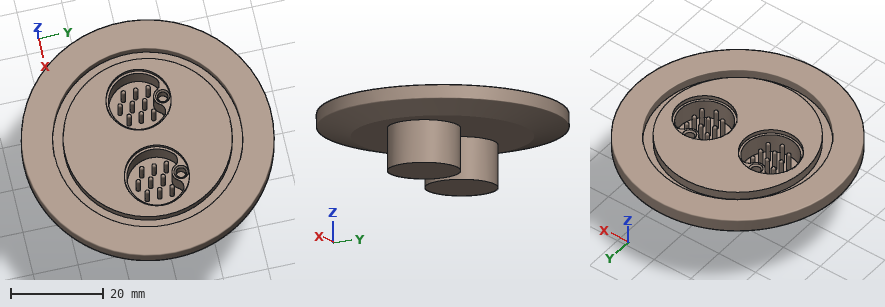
import cadquery as cq

FLANGE_DIAMETER = 54.85
FLANGE_HEIGHT = 5.2
RIM_HEIGHT = 3.1
RIM_FILLET = 0.3
UNDERSIDE_DIAMETER = 39.85
TOTAL_HEIGHT = 14.7

GROOVE_OUTER_DIAMETER = 41.25
GROOVE_INNER_DIAMETER = 36.7
GROOVE_DEPTH = 2.1
GROOVE_EDGE_FILLET = 0.15

CONNECTOR_SPACING = 18.0
BARREL_DIAMETER = 15.9
RECESS_DIAMETER = 14.1
RECESS_DEPTH = 1.0
CAVITY_DIAMETER = 13.0
CAVITY_DEPTH = 5.0

KEY_OFFSET = 5.4
KEY_RADIUS = 2.0
KEY_FILLET = 1.75
KEY_HOLE_DIAMETER = 2.25
KEY_HOLE_DEPTH = 2.75
COUNTERSINK_DIAMETER = 3.05
COUNTERSINK_DEPTH = (COUNTERSINK_DIAMETER - KEY_HOLE_DIAMETER) / 2

PIN_DIAMETER = 1.0
PIN_TIP_RADIUS = 0.45
PIN_PITCH = 2.75
PIN_COLUMN_SPACING = 2.8
PINS_PER_COLUMN = 3

RECESS_FLOOR = -RECESS_DEPTH
CAVITY_FLOOR = RECESS_FLOOR - CAVITY_DEPTH


def cylinder(diameter, bottom, top, x=0, y=0):
    """Vertical cylinder between two Z levels."""
    return cq.Workplane("XY", origin=(x, y, bottom)).circle(diameter / 2).extrude(top - bottom)


def make_flange():
    """Solid disc with a tapered underside and rounded rim edges."""
    rim_radius = FLANGE_DIAMETER / 2
    return (
        cq.Workplane("XZ")
        .moveTo(0, 0)
        .lineTo(rim_radius, 0)
        .lineTo(rim_radius, -RIM_HEIGHT)
        .lineTo(UNDERSIDE_DIAMETER / 2, -FLANGE_HEIGHT)
        .lineTo(0, -FLANGE_HEIGHT)
        .close()
        .revolve(360, (0, 0, 0), (0, 1, 0))
        .edges(cq.selectors.RadiusNthSelector(-1))
        .fillet(RIM_FILLET)
    )


def make_groove():
    """Ring cut that leaves a round island flush with the rim."""
    outer = cylinder(GROOVE_OUTER_DIAMETER, -GROOVE_DEPTH, 0)
    island = cylinder(GROOVE_INNER_DIAMETER, -GROOVE_DEPTH, 0)
    return outer.cut(island)


def round_groove_edge(flange):
    """Round the top edge of the groove's outer wall."""
    groove_top_edges = flange.faces(">Z").edges(cq.selectors.RadiusNthSelector(1))
    return groove_top_edges.fillet(GROOVE_EDGE_FILLET)


def make_cavity():
    """Round cavity notched by the key rib, with its two notch corners rounded."""
    bore = cylinder(CAVITY_DIAMETER, CAVITY_FLOOR, RECESS_FLOOR)
    key = cylinder(2 * KEY_RADIUS, CAVITY_FLOOR, RECESS_FLOOR, y=KEY_OFFSET)
    notched = bore.cut(key)
    return notched.edges("|Z and >Y").fillet(KEY_FILLET)


def make_key_hole():
    """Blind hole with a 45 degree countersink, opening on the recess floor."""
    drill = cylinder(KEY_HOLE_DIAMETER, RECESS_FLOOR - KEY_HOLE_DEPTH, RECESS_FLOOR, y=KEY_OFFSET)
    countersink = cq.Workplane(
        cq.Solid.makeCone(
            COUNTERSINK_DIAMETER / 2,
            KEY_HOLE_DIAMETER / 2,
            COUNTERSINK_DEPTH,
            cq.Vector(0, KEY_OFFSET, RECESS_FLOOR),
            cq.Vector(0, 0, -1),
        )
    )
    return drill.union(countersink)


def make_pin_positions():
    """The middle column sits half a pitch lower than the two outer ones."""
    positions = []
    for column in (-1, 0, 1):
        top_y = PIN_PITCH / 2 if column == 0 else PIN_PITCH
        for row in range(PINS_PER_COLUMN):
            positions.append((column * PIN_COLUMN_SPACING, top_y - row * PIN_PITCH))
    return positions


def make_pin(x, y):
    """Round-tipped pin standing on the cavity floor, its tip level with the recess floor."""
    pin = cylinder(PIN_DIAMETER, CAVITY_FLOOR, RECESS_FLOOR, x, y)
    return pin.faces(">Z").edges().fillet(PIN_TIP_RADIUS)


def make_socket():
    """Everything removed for one connector, centered on the Z axis."""
    recess = cylinder(RECESS_DIAMETER, RECESS_FLOOR, 0)
    return recess.union(make_cavity()).union(make_key_hole())


body = round_groove_edge(make_flange().cut(make_groove()))
barrel = cylinder(BARREL_DIAMETER, -TOTAL_HEIGHT, -FLANGE_HEIGHT)
socket = make_socket()

for connector_x in (-CONNECTOR_SPACING / 2, CONNECTOR_SPACING / 2):
    place = (connector_x, 0, 0)
    body = body.union(barrel.translate(place)).cut(socket.translate(place))
    for pin_x, pin_y in make_pin_positions():
        body = body.union(make_pin(connector_x + pin_x, pin_y))

result = body